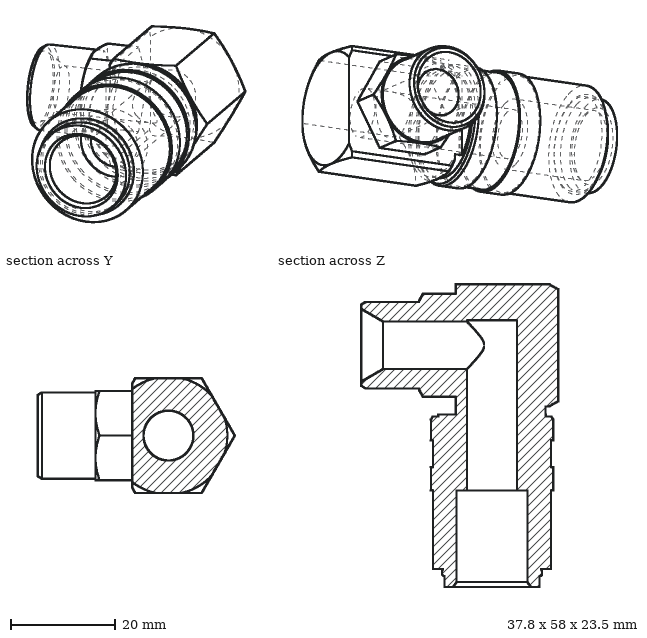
import cadquery as cq
import math


body_flats = 22.05
body_half_length = 11.7
body_flat_x = -6.95

neck_radius = 10.3
neck_flat_end_y = -13.2
sleeve_start_y = -13.65
ring_radius = 23.5 / 2
ring_chamfer_radial = 0.35
ring_chamfer_length = 0.6
rear_ring_end_y = -18.2
front_ring_start_y = -23.3
front_ring_end_y = -27.8
sleeve_radius = 11.3
sleeve_end_y = -42.85
bead_radius = 9.6
bead_end_y = -44.2
bead_fillet = 0.45
nose_radius = 9.1
nose_end_y = -46.3

mouth_radius = 7.4
mouth_depth = 0.9
socket_bore_radius = 6.8
socket_bore_end_y = -27.85
passage_radius = 4.75
passage_end_y = passage_radius

stud_end_x = -25.05
stud_radius = 8.3
stud_chamfer_radial = 0.5
stud_chamfer_length = 0.8
nut_flats = 17.1
nut_start_x = -14.0
stud_bore_radius = 4.5
cone_mouth_radius = 6.95
cone_half_angle = 30.0

bevel_angle = 30.0


def tan_deg(angle):
    return math.tan(math.radians(angle))


def corner_radius(flats):
    """Distance from a hexagon's centre to its corners."""
    return flats / 2 / math.cos(math.radians(30))


def bevel_length(flats):
    """Axial length of the bevel at a hexagon's corners."""
    return (corner_radius(flats) - flats / 2) * tan_deg(bevel_angle)


def revolve_y(points):
    """Revolve a (radius, y) outline about the Y axis."""
    return cq.Workplane("XY").polyline(points).close().revolve(360, (0, 0, 0), (0, 1, 0))


def revolve_x(points):
    """Revolve an (x, radius) outline about the X axis."""
    return cq.Workplane("XY").polyline(points).close().revolve(360, (0, 0, 0), (1, 0, 0))


def make_body():
    corner = corner_radius(body_flats)
    shoulder = body_half_length - bevel_length(body_flats)
    hexagon = (
        cq.Workplane("XZ")
        .polygon(6, 2 * corner)
        .extrude(body_half_length, both=True)
    )
    bevel = revolve_y([
        (0, -body_half_length),
        (body_flats / 2, -body_half_length),
        (corner, -shoulder),
        (corner, shoulder),
        (body_flats / 2, body_half_length),
        (0, body_half_length),
    ])
    neck = cq.Workplane("XZ").circle(neck_radius).extrude(-neck_flat_end_y)
    size = 4 * body_half_length
    flat_side = cq.Workplane("XY").box(size, size, size).translate((body_flat_x + size / 2, 0, 0))
    return hexagon.intersect(bevel).union(neck).intersect(flat_side)


def make_socket():
    sleeve = revolve_y([
        (0, 0),
        (passage_radius, 0),
        (passage_radius, neck_flat_end_y),
        (neck_radius, neck_flat_end_y),
        (neck_radius, sleeve_start_y),
        (ring_radius - ring_chamfer_radial, sleeve_start_y),
        (ring_radius, sleeve_start_y - ring_chamfer_length),
        (ring_radius, rear_ring_end_y),
        (sleeve_radius, rear_ring_end_y),
        (sleeve_radius, front_ring_start_y),
        (ring_radius, front_ring_start_y),
        (ring_radius, front_ring_end_y),
        (sleeve_radius, front_ring_end_y),
        (sleeve_radius, sleeve_end_y),
        (nose_radius, sleeve_end_y),
        (nose_radius, nose_end_y),
        (0, nose_end_y),
    ])
    bead = (
        cq.Workplane("XZ", origin=(0, sleeve_end_y, 0))
        .circle(bead_radius)
        .extrude(sleeve_end_y - bead_end_y)
        .edges()
        .fillet(bead_fillet)
    )
    return sleeve.union(bead)


def make_stud():
    thread = revolve_x([
        (0, 0),
        (stud_end_x, 0),
        (stud_end_x, stud_radius - stud_chamfer_radial),
        (stud_end_x + stud_chamfer_length, stud_radius),
        (0, stud_radius),
    ])
    corner = corner_radius(nut_flats)
    nut = (
        cq.Workplane("YZ", origin=(nut_start_x, 0, 0))
        .polygon(6, 2 * corner)
        .extrude(body_flat_x - nut_start_x)
    )
    bevel = revolve_x([
        (nut_start_x, 0),
        (nut_start_x, nut_flats / 2),
        (nut_start_x + bevel_length(nut_flats), corner),
        (body_flat_x, corner),
        (body_flat_x, 0),
    ])
    return thread.union(nut.intersect(bevel))


def make_socket_bore():
    return revolve_y([
        (0, nose_end_y),
        (mouth_radius, nose_end_y),
        (socket_bore_radius, nose_end_y + mouth_depth),
        (socket_bore_radius, socket_bore_end_y),
        (passage_radius, socket_bore_end_y),
        (passage_radius, passage_end_y),
        (0, passage_end_y),
    ])


def make_stud_bore():
    cone_depth = (cone_mouth_radius - stud_bore_radius) / tan_deg(cone_half_angle)
    return revolve_x([
        (stud_end_x, 0),
        (stud_end_x, cone_mouth_radius),
        (stud_end_x + cone_depth, stud_bore_radius),
        (0, stud_bore_radius),
        (0, 0),
    ])


solid = make_body().union(make_socket()).union(make_stud())
result = solid.cut(make_socket_bore()).cut(make_stud_bore())